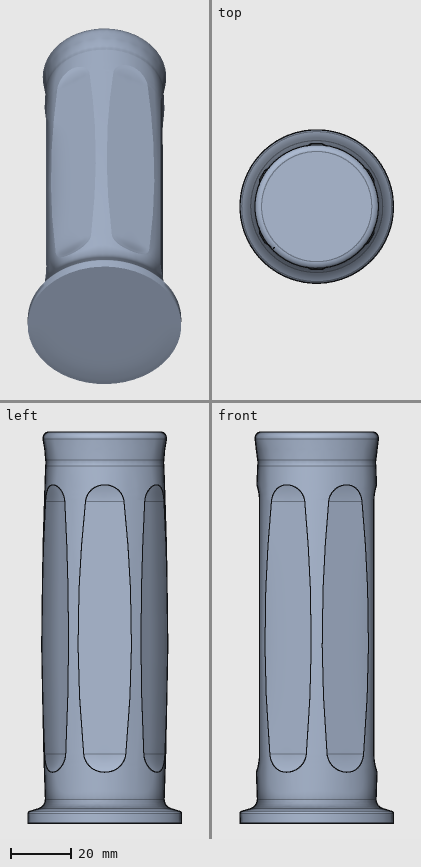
import cadquery as cq
import math

total_height = 130.0
flange_radius = 51.0 / 2

flange_rim_height = 3.83
flange_slope = 17.0
flange_edge_round = 0.85
flange_root_round = 3.1

neck_radius = 19.65
lower_neck_height = flange_rim_height + (flange_radius - neck_radius) * math.tan(math.radians(flange_slope))
upper_neck_height = 118.7
barrel_points = [
    (20.08, 18.0),
    (20.92, 52.2),
    (20.77, 81.3),
    (19.97, 109.1),
    (neck_radius, upper_neck_height),
]

groove_width = 2.0
groove_depth = 0.1
cap_radius = 20.8
cap_edge_round = 2.2

flat_count = 6
flat_distance = 19.0
flat_bottom_height = 23.1
flat_top_height = 106.8
runout_radius = 18.5
cutter_depth = 3.0


def circle_centred_at(height):
    """Select the circular edge around the axis at the given height."""
    return cq.selectors.NearestToPointSelector((0, 0, height))


def turned_body():
    """Turned flange, barrel and cap; outline points are (radius, height)."""
    groove_mid = (neck_radius - groove_depth, upper_neck_height + groove_width / 2)
    cap_base_height = upper_neck_height + groove_width
    outline = (
        cq.Workplane("XZ")
        .lineTo(flange_radius, 0)
        .lineTo(flange_radius, flange_rim_height)
        .lineTo(neck_radius, lower_neck_height)
        .spline(barrel_points, includeCurrent=True)
        .threePointArc(groove_mid, (neck_radius, cap_base_height))
        .lineTo(cap_radius, total_height)
        .lineTo(0, total_height)
        .close()
    )
    body = outline.revolve(360, (0, 0, 0), (0, 1, 0))
    body = body.edges(circle_centred_at(total_height)).fillet(cap_edge_round)
    body = body.edges(circle_centred_at(lower_neck_height)).fillet(flange_root_round)
    return body.edges(circle_centred_at(flange_rim_height)).fillet(flange_edge_round)


def runout_point(depth):
    """Distance from the axis and rise along it where a runout arc has left the flat by depth."""
    rise = math.sqrt(runout_radius**2 - (runout_radius - depth) ** 2)
    return flat_distance + depth, rise


def flat_cutter():
    """Cutter for one flat facing +X, with an arc tangent to the flat at each end."""
    mid_x, mid_rise = runout_point(cutter_depth / 2)
    end_x, end_rise = runout_point(cutter_depth)
    return (
        cq.Workplane("XZ")
        .moveTo(flat_distance, flat_bottom_height)
        .lineTo(flat_distance, flat_top_height)
        .threePointArc((mid_x, flat_top_height + mid_rise), (end_x, flat_top_height + end_rise))
        .lineTo(end_x, flat_bottom_height - end_rise)
        .threePointArc((mid_x, flat_bottom_height - mid_rise), (flat_distance, flat_bottom_height))
        .close()
        .extrude(flat_distance, both=True)
    )


result = turned_body()
for index in range(flat_count):
    angle = index * 360 / flat_count
    result = result.cut(flat_cutter().rotate((0, 0, 0), (0, 0, 1), angle))